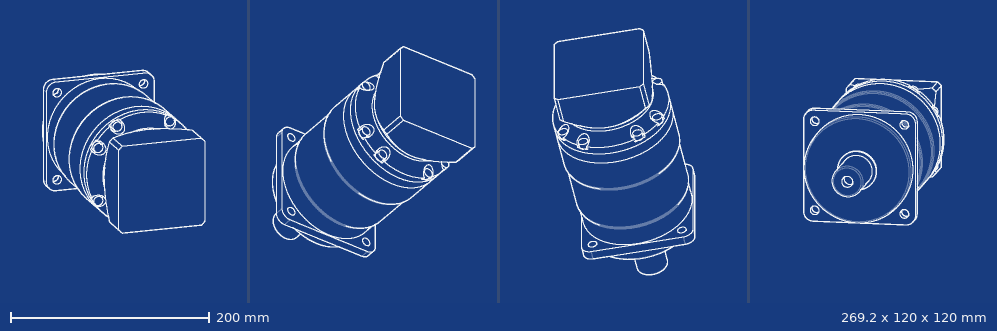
import cadquery as cq
import math


shoulder_x = 52.0
pilot_x = 54.6
flange_x = 66.8
flange_back_x = 76.7
front_blend_x = 97.7
rear_blend_x = 151.0
blend_length = 4.0
ring_x = 189.0
adapter_x = 201.0
cone_x = 209.7
neck_x = 219.5
box_x = 223.5
total_length = 269.2

shaft_radius = 16.0
shoulder_radius = 20.0
pilot_radius = 55.0
front_band_radius = 56.5
middle_radius = 58.1
rear_band_radius = 60.0

edge_round = 1.5

centre_hole_radius = 5.7
centre_hole_depth = 13.5
drill_tip_angle = 118

flange_width = 115.0
flange_corner_radius = 10.0
mount_hole_diameter = 9.0
mount_hole_pitch = 92.0

box_width = 92.0
neck_radius = box_width / 2
box_corner_radius = 62.5
box_corner_x = box_x + box_corner_radius - neck_radius

screw_circle_radius = 56.0
screw_pair_angles = (45, 135, 225, 315)
screw_pair_offset = 15
screw_angles = [
    pair_angle + turn
    for pair_angle in screw_pair_angles
    for turn in (-screw_pair_offset, screw_pair_offset)
]
counterbore_radius = 6.7
counterbore_floor_x = 206.2
screw_head_radius = 4.8
screw_head_end_x = 212.5


def revolved(profile):
    """Turn (x, radius) points, starting and ending on the axis, about X."""
    return cq.Workplane("XY").polyline(profile).close().revolve(360, (0, 0, 0), (1, 0, 0))


def rod(start_x, end_x, radius, y=0, z=0):
    """Cylinder parallel to X."""
    return cq.Workplane("YZ", origin=(start_x, y, z)).circle(radius).extrude(end_x - start_x)


def square_bar(start_x, end_x, width):
    """Square prism along X."""
    return cq.Workplane("YZ", origin=(start_x, 0, 0)).rect(width, width).extrude(end_x - start_x)


def blend_half(start_radius, end_radius):
    """Step in (x, radius) over one of the two equal arcs of a blend."""
    return blend_length / 2, (end_radius - start_radius) / 2


def turned_gear_unit():
    """Shaft, shoulder, pilot and three bands, each band blending into the next by an S of two arcs."""
    return (
        cq.Workplane("XY")
        .lineTo(0, shaft_radius - edge_round)
        .tangentArcPoint((edge_round, edge_round))
        .lineTo(shoulder_x, shaft_radius)
        .lineTo(shoulder_x, shoulder_radius)
        .lineTo(pilot_x, shoulder_radius)
        .lineTo(pilot_x, pilot_radius - edge_round)
        .tangentArcPoint((edge_round, edge_round))
        .lineTo(flange_x, pilot_radius)
        .lineTo(flange_x, front_band_radius)
        .lineTo(front_blend_x, front_band_radius)
        .tangentArcPoint(blend_half(front_band_radius, middle_radius))
        .tangentArcPoint(blend_half(front_band_radius, middle_radius))
        .lineTo(rear_blend_x, middle_radius)
        .tangentArcPoint(blend_half(middle_radius, rear_band_radius))
        .tangentArcPoint(blend_half(middle_radius, rear_band_radius))
        .lineTo(ring_x, rear_band_radius)
        .lineTo(ring_x, 0)
        .close()
        .revolve(360, (0, 0, 0), (1, 0, 0))
    )


def mounting_flange():
    return (
        square_bar(flange_x, flange_back_x, flange_width)
        .edges("|X").fillet(flange_corner_radius)
        .faces("<X").workplane(origin=(flange_x, 0, 0))
        .rect(mount_hole_pitch, mount_hole_pitch, forConstruction=True)
        .vertices().hole(mount_hole_diameter)
    )


def shaft_centre_hole():
    tip_length = centre_hole_radius / math.tan(math.radians(drill_tip_angle / 2))
    return revolved([
        (0, 0),
        (0, centre_hole_radius),
        (centre_hole_depth, centre_hole_radius),
        (centre_hole_depth + tip_length, 0),
    ])


def make_gear_unit():
    return turned_gear_unit().union(mounting_flange()).cut(shaft_centre_hole())


def make_spacer_ring():
    return rod(ring_x, adapter_x, rear_band_radius)


def adapter_blank():
    """Round plate with a conical back and a square motor end whose four corners start in a cone."""
    plate = revolved([
        (adapter_x, 0),
        (adapter_x, rear_band_radius),
        (cone_x, rear_band_radius),
        (neck_x, neck_radius),
        (box_x, neck_radius),
        (box_x, 0),
    ])
    corner_envelope = revolved([
        (box_x, 0),
        (box_x, neck_radius),
        (box_corner_x, box_corner_radius),
        (total_length, box_corner_radius),
        (total_length, 0),
    ])
    box = square_bar(box_x, total_length, box_width).intersect(corner_envelope)
    return plate.union(box)


def make_motor_adapter():
    adapter = adapter_blank()
    for angle in screw_angles:
        y = screw_circle_radius * math.cos(math.radians(angle))
        z = screw_circle_radius * math.sin(math.radians(angle))
        counterbore = rod(counterbore_floor_x, neck_x, counterbore_radius, y, z)
        screw_head = rod(counterbore_floor_x, screw_head_end_x, screw_head_radius, y, z)
        adapter = adapter.cut(counterbore).union(screw_head)
    return adapter


gear_unit = make_gear_unit()
spacer_ring = make_spacer_ring()
motor_adapter = make_motor_adapter()

result = cq.Compound.makeCompound([gear_unit.val(), spacer_ring.val(), motor_adapter.val()])